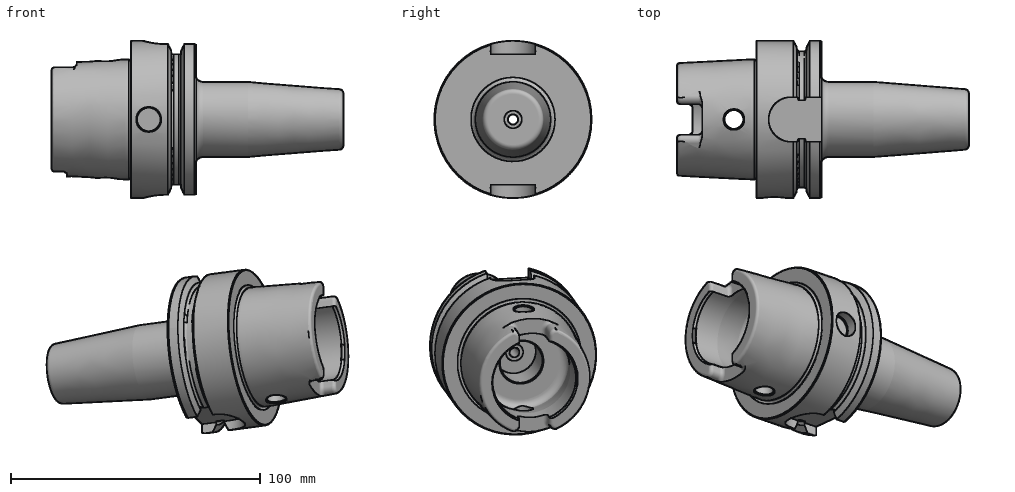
import cadquery as cq
import math

overall_length = 116.9

shank_tip_radius = 22.6
shank_base_radius = 24.1
shank_taper_end = 29.7
shank_edge_round = 1.2

flange_start = 31.7
flange_end = 57.9
flange_radius = 31.5
flange_front_chamfer = 0.4
flange_rear_chamfer_length = 0.7
flange_rear_chamfer_height = 0.4
relief_center_radius = 24.4
relief_radius = 0.8

groove_center = 49.9
groove_half_width = 3.33
groove_step_half_width = 1.9
groove_step_radius = 28.8
groove_root_radius = 27.3
groove_root_round = 0.8

nose_radius = 15.1
nose_taper_start = 78.7
nose_tip_radius = 12.0
nose_tip_round = 2.0
nose_base_round = 3.2
nose_base_rise = 1.8

notch_half_width = 6.1
notch_lobe_top = 20.9
notch_lobe_radius = 2.5
notch_shoulder_slope = 22.0
notch_floor_round = 1.5
notch_mouth_round = 1.4
top_notch_depth = 10.0
bottom_notch_depth = 6.2
notch_outer_limit = 25.7

cavity_mouth_radius = 17.48
cavity_chamfer_length = 1.2
cavity_radius = 17.0
cavity_cone_start = 12.6
cavity_rear_radius = 18.7
cavity_cone_end = 24.5
cavity_floor_radius = 15.7
cavity_floor_round = cavity_rear_radius - cavity_floor_radius
cavity_depth = cavity_cone_end + cavity_floor_round

mouth_recess_reach = 17.4
mouth_recess_half_height = 3.5
mouth_recess_depth = 1.4
mouth_recess_round = 1.3

socket_radius = 9.06
socket_bottom_radius = 8.7
socket_chamfer = socket_radius - socket_bottom_radius
socket_depth = 14.0
socket_bottom = cavity_depth + socket_depth

screw_radius = 3.5
screw_hole_radius = 2.0
screw_length = 14.0

cross_hole_x = 22.8
cross_hole_radius = 3.7
cross_hole_chamfer = 0.5

slot_half_width = 8.94
slot_end = 36.7
slot_floor_height = 26.2
side_hole_x = 38.9
side_hole_radius = 5.0
side_hole_floor_chamfer = 0.4
side_hole_floor = 26.5


def revolve_about_axis(profile):
    """Turn a closed profile of (axial, radial) points around the X axis."""
    return profile.close().revolve(360, (0, 0, 0), (1, 0, 0))


def make_notch_cutter(depth):
    """Notch on the +Z side; each wall bends outward over a round lobe into a sloping shoulder."""
    lobe_y = notch_half_width + notch_lobe_radius
    lobe_z = notch_lobe_top - notch_lobe_radius
    slope = math.radians(notch_shoulder_slope)
    lobe_middle_offset = notch_lobe_radius * math.sqrt(0.5)
    middle_y = lobe_y - lobe_middle_offset
    middle_z = lobe_z + lobe_middle_offset
    shoulder_y = lobe_y + notch_lobe_radius * math.sin(slope)
    shoulder_z = lobe_z + notch_lobe_radius * math.cos(slope)
    shoulder_end_z = shoulder_z - (notch_outer_limit - shoulder_y) * math.tan(slope)
    return (
        cq.Workplane("YZ", origin=(-depth, 0, 0))
        .moveTo(-notch_half_width, 0)
        .lineTo(notch_half_width, 0)
        .lineTo(notch_half_width, lobe_z)
        .threePointArc((middle_y, middle_z), (shoulder_y, shoulder_z))
        .lineTo(notch_outer_limit, shoulder_end_z)
        .lineTo(notch_outer_limit, notch_outer_limit)
        .lineTo(-notch_outer_limit, notch_outer_limit)
        .lineTo(-notch_outer_limit, shoulder_end_z)
        .lineTo(-shoulder_y, shoulder_z)
        .threePointArc((-middle_y, middle_z), (-notch_half_width, lobe_z))
        .close()
        .extrude(2 * depth)
        .faces(">X")
        .edges()
        .fillet(notch_floor_round)
    )


def make_notched_block():
    """Block larger than the shank with both drive notches and rounded notch mouths."""
    block = cq.Workplane("XY").box(
        flange_start,
        2 * notch_outer_limit,
        2 * notch_outer_limit,
        centered=(False, True, True),
    )
    block = block.cut(make_notch_cutter(top_notch_depth))
    block = block.cut(make_notch_cutter(bottom_notch_depth).rotate((0, 0, 0), (1, 0, 0), 180))
    return block.faces("<X").edges().fillet(notch_mouth_round)


def make_shank():
    """Solid taper with a rounded end rim, two drive notches and a chamfered cross hole."""
    taper = revolve_about_axis(
        cq.Workplane("XY")
        .lineTo(0, shank_tip_radius)
        .lineTo(shank_taper_end, shank_base_radius)
        .lineTo(flange_start, shank_base_radius)
        .lineTo(flange_start, 0)
    )
    taper = taper.faces("<X").edges().fillet(shank_edge_round)
    cross_hole = (
        cq.Workplane("XY", origin=(cross_hole_x, 0, 0))
        .circle(cross_hole_radius)
        .extrude(shank_base_radius, both=True)
    )
    hole_reach = cross_hole_radius + cross_hole_chamfer
    hole_zone = cq.selectors.BoxSelector(
        (cross_hole_x - hole_reach, -hole_reach, -shank_base_radius),
        (cross_hole_x + hole_reach, hole_reach, shank_base_radius),
        boundingbox=True,
    )
    taper = taper.cut(cross_hole).edges(hole_zone).edges("not |Z").chamfer(cross_hole_chamfer)
    return taper.intersect(make_notched_block())


def make_flange():
    """Flange disc with chamfered rims."""
    return revolve_about_axis(
        cq.Workplane("XY")
        .moveTo(flange_start, 0)
        .lineTo(flange_start, flange_radius - flange_front_chamfer)
        .lineTo(flange_start + flange_front_chamfer, flange_radius)
        .lineTo(flange_end - flange_rear_chamfer_length, flange_radius)
        .lineTo(flange_end, flange_radius - flange_rear_chamfer_height)
        .lineTo(flange_end, 0)
    )


def make_gripper_groove():
    """V-shaped groove that ends in a narrow round-cornered channel."""
    left_wall = groove_center - groove_step_half_width
    right_wall = groove_center + groove_step_half_width
    root_round_top = groove_root_radius + groove_root_round
    return revolve_about_axis(
        cq.Workplane("XY")
        .moveTo(groove_center - groove_half_width, flange_radius)
        .lineTo(left_wall, groove_step_radius)
        .lineTo(left_wall, root_round_top)
        .radiusArc((left_wall + groove_root_round, groove_root_radius), -groove_root_round)
        .lineTo(right_wall - groove_root_round, groove_root_radius)
        .radiusArc((right_wall, root_round_top), -groove_root_round)
        .lineTo(right_wall, groove_step_radius)
        .lineTo(groove_center + groove_half_width, flange_radius)
    )


def make_relief_groove():
    """Round undercut where the shank meets the flange face."""
    return (
        cq.Workplane("XY")
        .center(flange_start, relief_center_radius)
        .circle(relief_radius)
        .revolve(360, (-flange_start, -relief_center_radius, 0), (1.2 - flange_start, -relief_center_radius, 0))
    )


def make_flange_slot():
    """Round-ended slot with a flat floor on the +Z side of the flange."""
    arc_center = slot_end + slot_half_width
    return (
        cq.Workplane("XY", origin=(0, 0, slot_floor_height))
        .moveTo(flange_end, -slot_half_width)
        .lineTo(arc_center, -slot_half_width)
        .threePointArc((slot_end, 0), (arc_center, slot_half_width))
        .lineTo(flange_end, slot_half_width)
        .close()
        .extrude(flange_radius - slot_floor_height)
    )


def make_side_hole():
    """Blind hole on the -Y side of the flange with a flat floor and a chamfered floor edge."""
    return (
        cq.Workplane("XZ", origin=(side_hole_x, -side_hole_floor, 0))
        .circle(side_hole_radius)
        .extrude(flange_radius - side_hole_floor)
        .faces(">Y")
        .chamfer(side_hole_floor_chamfer)
    )


def make_nose():
    """Cylinder and cone with a rounded tip and a round at the flange."""
    round_length = math.sqrt(nose_base_round**2 - (nose_base_round - nose_base_rise) ** 2)
    nose = revolve_about_axis(
        cq.Workplane("XY")
        .moveTo(flange_end, 0)
        .lineTo(flange_end, nose_radius + nose_base_rise)
        .radiusArc((flange_end + round_length, nose_radius), -nose_base_round)
        .lineTo(nose_taper_start, nose_radius)
        .lineTo(overall_length, nose_tip_radius)
        .lineTo(overall_length, 0)
    )
    return nose.faces(">X").edges().fillet(nose_tip_round)


def make_cavity():
    """Stepped hollow of the shank, the socket behind it and the through bore."""
    return revolve_about_axis(
        cq.Workplane("XY")
        .lineTo(0, cavity_mouth_radius)
        .lineTo(cavity_chamfer_length, cavity_radius)
        .lineTo(cavity_cone_start, cavity_radius)
        .lineTo(cavity_cone_end, cavity_rear_radius)
        .radiusArc((cavity_depth, cavity_floor_radius), cavity_floor_round)
        .lineTo(cavity_depth, socket_radius)
        .lineTo(cavity_depth + socket_chamfer, socket_bottom_radius)
        .lineTo(socket_bottom, socket_bottom_radius)
        .lineTo(socket_bottom, screw_radius)
        .lineTo(overall_length, screw_radius)
        .lineTo(overall_length, 0)
    )


def make_mouth_recesses():
    """Round-cornered bar across the cavity mouth that leaves one recess on each side."""
    return (
        cq.Workplane("YZ")
        .rect(2 * mouth_recess_reach, 2 * mouth_recess_half_height)
        .extrude(mouth_recess_depth)
        .edges("|X")
        .fillet(mouth_recess_round)
    )


def make_holder():
    """Holder body with its shank, flange, nose and all recesses."""
    holder = make_shank().union(make_flange()).union(make_nose())
    holder = holder.cut(make_gripper_groove()).cut(make_relief_groove())
    for slot_angle in (0, 180):
        holder = holder.cut(make_flange_slot().rotate((0, 0, 0), (1, 0, 0), slot_angle))
    holder = holder.cut(make_side_hole())
    return holder.cut(make_cavity()).cut(make_mouth_recesses())


def make_stop_screw():
    """Hollow screw whose end is flush with the bottom of the socket."""
    return (
        cq.Workplane("YZ", origin=(socket_bottom, 0, 0))
        .circle(screw_radius)
        .circle(screw_hole_radius)
        .extrude(screw_length)
    )


holder = make_holder()
stop_screw = make_stop_screw()

result = cq.Compound.makeCompound([holder.val(), stop_screw.val()])